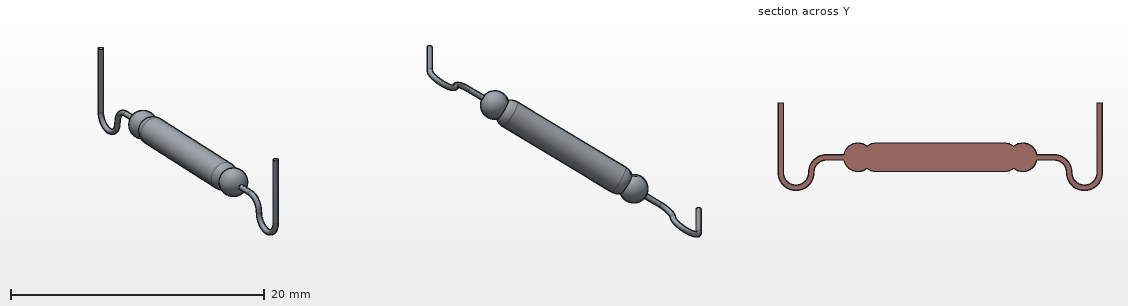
import cadquery as cq

overall_length = 25.6
overall_height = 6.9
wire_diameter = 0.44
bend_radius = 1.2
body_diameter = 2.28
body_straight_length = 10.15
bead_center_x = 6.5

body_radius = body_diameter / 2

wire_radius = wire_diameter / 2
leg_x = overall_length / 2 - wire_radius
loop_center_x = leg_x - bend_radius
loop_inner_x = loop_center_x - bend_radius
shoulder_x = loop_inner_x - bend_radius
loop_start_z = -bend_radius
loop_bottom_z = loop_start_z - bend_radius
leg_top_z = loop_bottom_z - wire_radius + overall_height


def ball(x):
    """Sphere of the body radius centred on the body axis."""
    return cq.Workplane("XY").sphere(body_radius).translate((x, 0, 0))


def make_lead():
    """Wire from the bead centre, over a shoulder, round a U loop and up the leg."""
    path = (
        cq.Workplane("XZ")
        .moveTo(bead_center_x, 0)
        .lineTo(shoulder_x, 0)
        .radiusArc((loop_inner_x, loop_start_z), bend_radius)
        .threePointArc((loop_center_x, loop_bottom_z), (leg_x, loop_start_z))
        .lineTo(leg_x, leg_top_z)
    )
    section = cq.Workplane("YZ", origin=(bead_center_x, 0, 0)).circle(wire_radius)
    return section.sweep(path)


result = cq.Workplane("YZ").circle(body_radius).extrude(body_straight_length / 2, both=True)

lead = make_lead()
for side in (-1, 1):
    result = result.union(ball(side * body_straight_length / 2))
    result = result.union(ball(side * bead_center_x))
    result = result.union(lead if side > 0 else lead.mirror("YZ"))